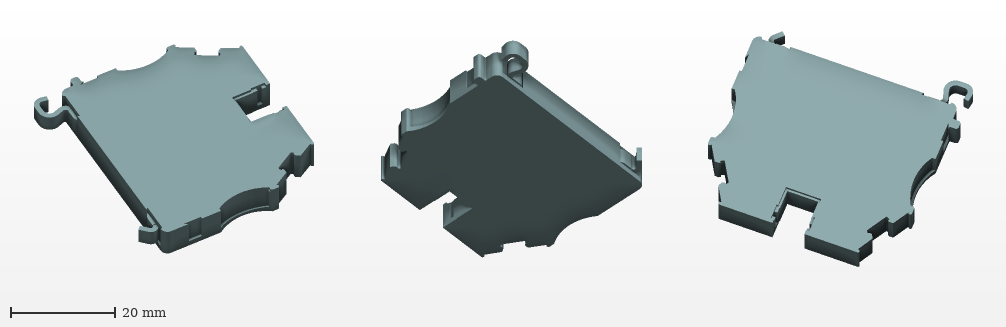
import cadquery as cq
import math


OVERALL_WIDTH = 43.7
OVERALL_HEIGHT = 42.0

HOUSING_WIDTH = 42.0
HOUSING_HEIGHT = 36.5
THICKNESS = 6.2
HALF_WIDTH = HOUSING_WIDTH / 2
CORNER_RADIUS = 1.5
OVERCUT = 0.45

COVER_BOTTOM = 5.6
RECESS_FLOOR = 1.22

CUP_LOW_Y = 12.4
CUP_HIGH_Y = 23.25
CUP_MID_Y = (CUP_LOW_Y + CUP_HIGH_Y) / 2
CUP_DEPTH = 1.8
CUP_LIP_INSET = 0.25
CUP_LIP_Y = 23.4
POCKET_DEPTH = 2.27
POCKET_LOW_INSET = 0.7
POCKET_HIGH_INSET = 0.9
POCKET_RIM_Z = 1.35
POCKET_FLOOR_Z = 0.75
POCKET_COVER_STEP = 0.17

NOTCH_MOUTH_HALF = 3.28
NOTCH_MOUTH_DEPTH = 3.75
NOTCH_HALF = 3.2
NOTCH_DEPTH = 7.7
LEDGE_WIDTH = 0.45
WALL_RECESS_HALF = 3.95
WALL_RECESS_START = 0.87
WALL_RECESS_END = 3.98
WALL_POCKET_START = 1.65
WALL_POCKET_END = 2.7

LABEL_DEPTH = 0.5
LABEL_TOP_Y = 8.25
LABEL_OUTER_LOW_Y = 5.38
LABEL_INNER_LOW_Y = 4.33

LUG_REACH = OVERALL_WIDTH - HOUSING_WIDTH
LUG_LOW_Y = 3.15
LUG_HIGH_Y = 5.0
LUG_TIP_RADIUS = 0.55
LUG_ROOT_RADIUS = 0.25

FOOT_RECESS_DEPTH = 0.45
FOOT_MOUTH_START = 1.5
FOOT_MOUTH_END = 7.2
FOOT_INNER_START = 1.6
FOOT_INNER_END = 7.47
STRIP_LOW_Z = 1.3
STRIP_WIDTH = 3.5
STRIP_THICKNESS = 1.05
PLATE_START = 4.25
PLATE_FLAT_END = 5.9
PLATE_DROP = 0.3

HOOK_REACH = OVERALL_HEIGHT - HOUSING_HEIGHT
HOOK_LEAN = math.radians(20)
HOOK_BIG_RADIUS = 1.85
HOOK_BIG_INSET = 1.9
HOOK_SMALL_RADIUS = 1.3
HOOK_SMALL_INSET = 0.45
HOOK_NECK_RADIUS = 1.22
HOOK_NECK_LENGTH = 1.25
HOOK_TIP_LEAN = math.radians(10)
HOOK_TIP_LENGTH = 1.25

CLIP_RADIUS = 0.95
CLIP_CENTRE_INSET = 4.05
CLIP_CENTRE_Y = -0.75
CLIP_LEAN = math.radians(45)
CLIP_TIP_LENGTH = 2.05


def at(inset, y):
    """Point at a distance inward from the left side face."""
    return (inset - HALF_WIDTH, y)


def polar(centre, radius, angle):
    """Point on a circle, angle in radians from +X."""
    return (centre[0] + radius * math.cos(angle), centre[1] + radius * math.sin(angle))


def arc_middle(centre, radius, start_angle, end_angle):
    return polar(centre, radius, (start_angle + end_angle) / 2)


def prism(points, low_z, high_z):
    return cq.Workplane("XY").workplane(offset=low_z).polyline(points).close().extrude(high_z - low_z)


def block(x_size, low_y, high_y, low_z, high_z):
    """Box centred on X = 0."""
    return prism(
        [(-x_size / 2, low_y), (x_size / 2, low_y), (x_size / 2, high_y), (-x_size / 2, high_y)],
        low_z, high_z,
    )


def both_sides(shape):
    return shape.union(shape.mirror("YZ"))


def half_housing():
    """Left half of the housing plate with its stepped, toothed shoulder."""
    bend = CORNER_RADIUS * (1 - math.sqrt(0.5))
    outline = (
        cq.Workplane("XY")
        .moveTo(0, 0)
        .lineTo(*at(CORNER_RADIUS, 0))
        .threePointArc(at(bend, bend), at(0, CORNER_RADIUS))
        .lineTo(*at(0, CUP_LOW_Y))
        .threePointArc(at(CUP_DEPTH, CUP_MID_Y), at(CUP_LIP_INSET, CUP_LIP_Y))
    )
    for point in [(0, 23.7), (0, 25.05)]:
        outline = outline.lineTo(*at(*point))
    outline = outline.threePointArc(at(0.25, 25.25), at(0.75, 25.0))
    for point in [(2.62, 28.2), (3.5, 28.2), (3.85, 27.9), (3.6, 27.75)]:
        outline = outline.lineTo(*at(*point))
    outline = outline.threePointArc(at(3.9, 27.5), at(4.35, 27.35))
    for point in [(6.77, 31.4), (6.45, 31.85), (6.1, 31.73)]:
        outline = outline.lineTo(*at(*point))
    outline = outline.threePointArc(at(5.8, 31.75), at(5.55, 31.9))
    for point in [(5.1, 32.65), (6.95, 35.85), (6.65, 35.88)]:
        outline = outline.lineTo(*at(*point))
    outline = outline.threePointArc(at(6.45, 36.2), at(6.77, HOUSING_HEIGHT))
    return outline.lineTo(0, HOUSING_HEIGHT).close().extrude(THICKNESS)


def lug():
    """Rounded lug standing out of the left edge."""
    middle_y = (LUG_LOW_Y + LUG_HIGH_Y) / 2
    return (
        cq.Workplane("XY")
        .center(*at(0, middle_y))
        .rect(2 * LUG_REACH, LUG_HIGH_Y - LUG_LOW_Y)
        .extrude(THICKNESS)
        .edges("|Z and <X")
        .fillet(LUG_TIP_RADIUS)
    )


def root_fillet(y, direction):
    """Concave fillet between the lug and the left edge; direction (1 or -1) leads away from it in Y."""
    r = LUG_ROOT_RADIUS
    bend = r * (1 - math.sqrt(0.5))
    return (
        cq.Workplane("XY")
        .moveTo(*at(0, y))
        .lineTo(*at(-r, y))
        .threePointArc(at(-bend, y + direction * bend), at(0, y + direction * r))
        .close()
        .extrude(THICKNESS)
    )


def notch():
    """Stepped notch in the top edge with a ledge and wall recesses under the cover."""
    top = HOUSING_HEIGHT
    over_top = THICKNESS + OVERCUT
    mouth = block(2 * NOTCH_MOUTH_HALF, top - NOTCH_MOUTH_DEPTH, top + OVERCUT, -OVERCUT, over_top)
    slot = block(2 * NOTCH_HALF, top - NOTCH_DEPTH, top + OVERCUT, -OVERCUT, over_top)
    ledge = block(
        2 * (NOTCH_HALF + LEDGE_WIDTH), top - NOTCH_DEPTH - LEDGE_WIDTH, top - NOTCH_MOUTH_DEPTH,
        COVER_BOTTOM, over_top,
    )
    wall_recess = block(
        2 * WALL_RECESS_HALF, top - WALL_RECESS_END, top - WALL_RECESS_START, COVER_BOTTOM, over_top
    )
    wall_pocket = block(
        2 * WALL_RECESS_HALF, top - WALL_POCKET_END, top - WALL_POCKET_START, RECESS_FLOOR, over_top
    )
    return mouth.union(slot).union(ledge).union(wall_recess).union(wall_pocket)


def cup_pocket():
    """Deeper pocket in the finger cup; its floor slopes down toward the housing middle."""
    slope = (POCKET_FLOOR_Z - POCKET_RIM_Z) / CUP_DEPTH
    far_inset = POCKET_DEPTH + OVERCUT
    above_floor = (
        cq.Workplane("XZ")
        .polyline([
            at(-OVERCUT, POCKET_RIM_Z - slope * OVERCUT),
            at(far_inset, POCKET_RIM_Z + slope * far_inset),
            at(far_inset, THICKNESS + OVERCUT),
            at(-OVERCUT, THICKNESS + OVERCUT),
        ])
        .close()
        .extrude(-HOUSING_HEIGHT)
    )
    pocket = (
        cq.Workplane("XY")
        .moveTo(*at(-OVERCUT, CUP_LOW_Y))
        .lineTo(*at(POCKET_LOW_INSET, CUP_LOW_Y))
        .threePointArc(at(POCKET_DEPTH, CUP_MID_Y), at(POCKET_HIGH_INSET, CUP_HIGH_Y))
        .lineTo(*at(-OVERCUT, CUP_HIGH_Y))
        .close()
        .extrude(THICKNESS + OVERCUT)
        .intersect(above_floor)
    )
    step_low_y = CUP_HIGH_Y - POCKET_COVER_STEP
    step_high_y = CUP_HIGH_Y + POCKET_COVER_STEP
    cover_step = prism(
        [
            at(-OVERCUT, step_low_y),
            at(POCKET_HIGH_INSET, step_low_y),
            at(POCKET_HIGH_INSET, step_high_y),
            at(-OVERCUT, step_high_y),
        ],
        COVER_BOTTOM, THICKNESS + OVERCUT,
    )
    return pocket.union(cover_step)


def label_recess():
    low_slope = (LABEL_OUTER_LOW_Y - LABEL_INNER_LOW_Y) / LABEL_DEPTH
    return prism(
        [
            at(-OVERCUT, LABEL_TOP_Y),
            at(LABEL_DEPTH, LABEL_TOP_Y),
            at(LABEL_DEPTH, LABEL_INNER_LOW_Y),
            at(-OVERCUT, LABEL_OUTER_LOW_Y + low_slope * OVERCUT),
        ],
        RECESS_FLOOR, THICKNESS + OVERCUT,
    )


def foot_recess():
    return prism(
        [
            at(FOOT_MOUTH_START, 0),
            at(FOOT_INNER_START, FOOT_RECESS_DEPTH),
            at(FOOT_INNER_END, FOOT_RECESS_DEPTH),
            at(FOOT_MOUTH_END, 0),
        ],
        RECESS_FLOOR, THICKNESS + OVERCUT,
    )


def spring_plate():
    """Flat end of a spring strip, lying in a foot recess and tapering inward."""
    taper_middle = ((PLATE_FLAT_END + FOOT_INNER_END) / 2, -PLATE_DROP / 2)
    return (
        cq.Workplane("XY")
        .workplane(offset=STRIP_LOW_Z)
        .moveTo(*at(PLATE_START, FOOT_RECESS_DEPTH))
        .lineTo(*at(PLATE_START, -PLATE_DROP))
        .lineTo(*at(PLATE_FLAT_END, -PLATE_DROP))
        .threePointArc(at(*taper_middle), at(FOOT_INNER_END, FOOT_RECESS_DEPTH))
        .close()
        .extrude(STRIP_WIDTH)
    )


def strip_along(path, start):
    """Sweep the strip section along a path that leaves its start in the X direction."""
    middle_z = STRIP_LOW_Z + STRIP_WIDTH / 2
    section = cq.Workplane("YZ", origin=(start[0], start[1], middle_z))
    return section.rect(STRIP_THICKNESS, STRIP_WIDTH).sweep(path.translate((0, 0, middle_z)))


def hook():
    """J-shaped hook: neck bend, leaning shank, big bend, base, small bend and tip."""
    low_y = STRIP_THICKNESS / 2 - HOOK_REACH
    big_centre = at(HOOK_BIG_INSET, low_y + HOOK_BIG_RADIUS)
    small_centre = at(HOOK_SMALL_INSET, low_y + HOOK_SMALL_RADIUS)
    shank_low = polar(big_centre, HOOK_BIG_RADIUS, HOOK_LEAN)
    shank_high = polar(shank_low, HOOK_NECK_LENGTH, HOOK_LEAN + math.pi / 2)
    neck_centre = polar(shank_high, HOOK_NECK_RADIUS, HOOK_LEAN)
    start = polar(neck_centre, HOOK_NECK_RADIUS, math.pi / 2)
    tip_root = polar(small_centre, HOOK_SMALL_RADIUS, math.pi - HOOK_TIP_LEAN)
    tip = polar(tip_root, HOOK_TIP_LENGTH, math.pi / 2 - HOOK_TIP_LEAN)
    path = (
        cq.Workplane("XY")
        .moveTo(*start)
        .threePointArc(
            arc_middle(neck_centre, HOOK_NECK_RADIUS, math.pi / 2, math.pi + HOOK_LEAN), shank_high
        )
        .lineTo(*shank_low)
        .threePointArc(
            arc_middle(big_centre, HOOK_BIG_RADIUS, HOOK_LEAN, -math.pi / 2), (big_centre[0], low_y)
        )
        .lineTo(small_centre[0], low_y)
        .threePointArc(
            arc_middle(small_centre, HOOK_SMALL_RADIUS, 3 * math.pi / 2, math.pi - HOOK_TIP_LEAN), tip_root
        )
        .lineTo(*tip)
    )
    return strip_along(path, start)


def clip():
    """Short clip bent back under the foot, laid out on the left side."""
    centre = at(CLIP_CENTRE_INSET, CLIP_CENTRE_Y)
    start = polar(centre, CLIP_RADIUS, math.pi / 2)
    bend_end = polar(centre, CLIP_RADIUS, math.pi + CLIP_LEAN)
    tip = polar(bend_end, CLIP_TIP_LENGTH, CLIP_LEAN - math.pi / 2)
    path = (
        cq.Workplane("XY")
        .moveTo(*start)
        .threePointArc(
            arc_middle(centre, CLIP_RADIUS, math.pi / 2, math.pi + CLIP_LEAN), bend_end
        )
        .lineTo(*tip)
    )
    return strip_along(path, start)


housing = both_sides(half_housing()).union(lug())
housing = housing.union(root_fillet(LUG_LOW_Y, -1)).union(root_fillet(LUG_HIGH_Y, 1))
housing = housing.cut(notch())
for side_cut in (cup_pocket(), foot_recess(), label_recess()):
    housing = housing.cut(both_sides(side_cut))

result = housing.union(both_sides(spring_plate())).union(hook()).union(clip().mirror("YZ"))